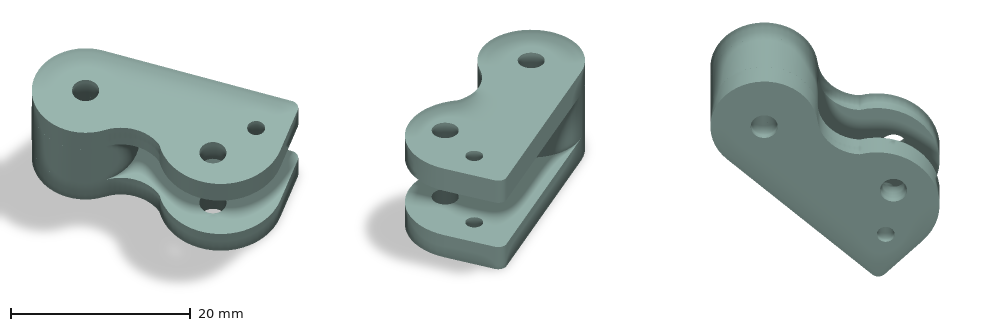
import cadquery as cq
import math

LENGTH = 29.25
HEIGHT = 12.0
PLATE_THICKNESS = HEIGHT / 4
SPACER_HEIGHT = HEIGHT - 2 * PLATE_THICKNESS

END_RADIUS = 6.0
LOBE_RADIUS = 7.0
WAIST_RADIUS = 5.0
CORNER_RADIUS = 1.0
RIGHT_EDGE = LENGTH - END_RADIUS
LOBE_CENTER = (RIGHT_EDGE - LOBE_RADIUS, -1.08)
WAIST_X = 7.02
WAIST_CENTER = (WAIST_X, -math.sqrt((END_RADIUS + WAIST_RADIUS) ** 2 - WAIST_X ** 2))

PIVOT_HOLE_DIAMETER = 3.0
SMALL_HOLE_DIAMETER = 2.0
LOBE_HOLE_CENTER = (LOBE_CENTER[0], -3.77)
SMALL_HOLE_CENTER = (19.7, 1.08)


def upper_left_crossing(center_a, radius_a, center_b, radius_b):
    """Crossing of two circles that lies on the left when going from a to b."""
    dx = center_b[0] - center_a[0]
    dy = center_b[1] - center_a[1]
    distance = math.hypot(dx, dy)
    along = (distance ** 2 + radius_a ** 2 - radius_b ** 2) / (2 * distance)
    across = math.sqrt(radius_a ** 2 - along ** 2)
    return (
        center_a[0] + (along * dx - across * dy) / distance,
        center_a[1] + (along * dy + across * dx) / distance,
    )


def plate_outline():
    """Closed outline of a plate, with its upper right corner still sharp."""
    tangent_ratio = END_RADIUS / (END_RADIUS + WAIST_RADIUS)
    waist_start = (WAIST_CENTER[0] * tangent_ratio, WAIST_CENTER[1] * tangent_ratio)
    waist_top = (WAIST_CENTER[0], WAIST_CENTER[1] + WAIST_RADIUS)
    waist_end = upper_left_crossing(WAIST_CENTER, WAIST_RADIUS, LOBE_CENTER, LOBE_RADIUS)
    lobe_bottom = (LOBE_CENTER[0], LOBE_CENTER[1] - LOBE_RADIUS)
    return (
        cq.Workplane("XY")
        .moveTo(0, END_RADIUS)
        .threePointArc((-END_RADIUS, 0), waist_start)
        .threePointArc(waist_top, waist_end)
        .threePointArc(lobe_bottom, (RIGHT_EDGE, LOBE_CENTER[1]))
        .lineTo(RIGHT_EDGE, END_RADIUS)
        .close()
    )


def make_plate(base_z):
    """Side plate with a rounded corner and three through holes."""
    plate = plate_outline().extrude(PLATE_THICKNESS)
    plate = plate.edges("|Z").edges(">(1, 1, 0)").fillet(CORNER_RADIUS)
    plate = (
        plate.faces(">Z")
        .workplane(origin=(0, 0, PLATE_THICKNESS))
        .pushPoints([(0, 0), LOBE_HOLE_CENTER])
        .hole(PIVOT_HOLE_DIAMETER)
    )
    plate = (
        plate.faces(">Z")
        .workplane(origin=(0, 0, PLATE_THICKNESS))
        .pushPoints([SMALL_HOLE_CENTER])
        .hole(SMALL_HOLE_DIAMETER)
    )
    return plate.translate((0, 0, base_z)).solids()


def make_spacer():
    """Round spacer between the plates, bored in line with their end holes."""
    return (
        cq.Workplane("XY", origin=(0, 0, PLATE_THICKNESS))
        .circle(END_RADIUS)
        .circle(PIVOT_HOLE_DIAMETER / 2)
        .extrude(SPACER_HEIGHT)
    )


plates = [make_plate(base_z) for base_z in (0, PLATE_THICKNESS + SPACER_HEIGHT)]
spacer = make_spacer()

result = cq.Compound.makeCompound([*[plate.val() for plate in plates], spacer.val()])